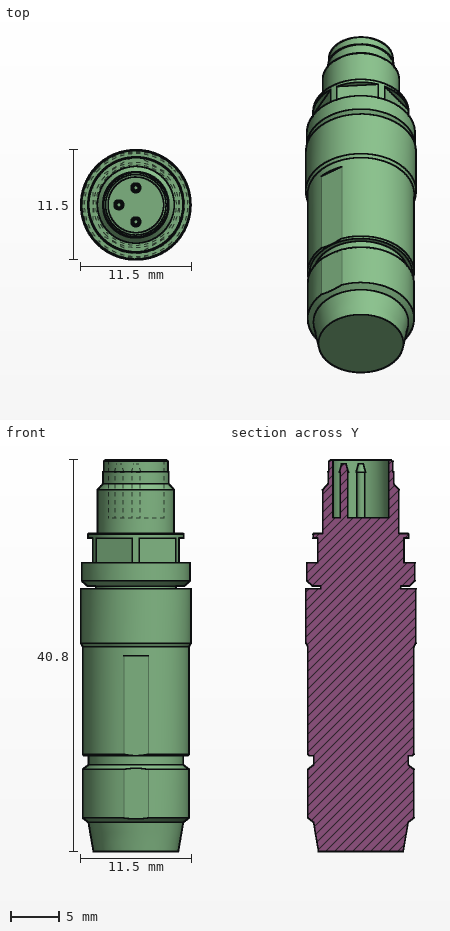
import cadquery as cq
import math

TOTAL_HEIGHT = 40.8

NOSE_TIP_DIAMETER = 8.85
NUT_BOTTOM_Z = 3.05
NUT_TOP_Z = 9.05
NUT_DIAMETER = 11.1
NUT_CHAMFER_HEIGHT = 0.47
NECK_DIAMETER = 9.9

BODY_BOTTOM_Z = 9.97
BODY_TOP_Z = 21.35
BODY_DIAMETER = 11.1
BODY_CHAMFER = 0.18

GRIP_ACROSS_FLATS = 10.8
GRIP_FLAT_TOP_Z = 20.4

COLLAR_DIAMETER = 11.5
COLLAR_TOP_Z = 27.4
COLLAR_CHAMFER_HEIGHT = 0.38

GROOVE_DIAMETER = 8.4
FLANGE_BOTTOM_Z = 27.65
FLANGE_BOTTOM_DIAMETER = 10.1
FLANGE_DIAMETER = 11.3
FLANGE_CHAMFER_HEIGHT = 0.55
FLANGE_TOP_Z = 30.1

HEX_ACROSS_FLATS = 9.0
HEX_CORNER_DIAMETER = 10.0
HEX_TOP_Z = 32.65
RIM_TOP_Z = 33.15
RIM_CHAMFER = 0.1

SHANK_DIAMETER = 8.0
SHANK_TOP_Z = 37.7
SHANK_CHAMFER_HEIGHT = 0.6
SLEEVE_DIAMETER = 6.9
TIP_DIAMETER = 6.7
TIP_LENGTH = 1.25
TIP_CHAMFER_HEIGHT = 0.15
TIP_FACE_DIAMETER = 6.3
SOCKET_DIAMETER = 5.8
SOCKET_DEPTH = 6.0

PIN_SHAFT_DIAMETER = 0.85
PIN_HEAD_DIAMETER = 1.0
PIN_TIP_DIAMETER = 0.5
PIN_HEAD_LENGTH = 0.9
PIN_RECESS = 0.4
PIN_ROOT_DEPTH = 1.0
PIN_CIRCLE_RADIUS = 1.77
PIN_ANGLES = (90, 180, 270)


def turned_outline():
    """(diameter, z) corners of the turned outside, from the nose up to the sleeve tip."""
    sleeve_bottom = SHANK_TOP_Z + SHANK_CHAMFER_HEIGHT
    return [
        (NOSE_TIP_DIAMETER, 0),
        (NECK_DIAMETER, NUT_BOTTOM_Z),
        (NUT_DIAMETER, NUT_BOTTOM_Z + NUT_CHAMFER_HEIGHT),
        (NUT_DIAMETER, NUT_TOP_Z - NUT_CHAMFER_HEIGHT),
        (NECK_DIAMETER, NUT_TOP_Z),
        (NECK_DIAMETER, BODY_BOTTOM_Z),
        (BODY_DIAMETER - 2 * BODY_CHAMFER, BODY_BOTTOM_Z),
        (BODY_DIAMETER, BODY_BOTTOM_Z + BODY_CHAMFER),
        (BODY_DIAMETER, BODY_TOP_Z),
        (COLLAR_DIAMETER, BODY_TOP_Z + COLLAR_CHAMFER_HEIGHT),
        (COLLAR_DIAMETER, COLLAR_TOP_Z),
        (GROOVE_DIAMETER, COLLAR_TOP_Z),
        (GROOVE_DIAMETER, FLANGE_BOTTOM_Z),
        (FLANGE_BOTTOM_DIAMETER, FLANGE_BOTTOM_Z),
        (FLANGE_DIAMETER, FLANGE_BOTTOM_Z + FLANGE_CHAMFER_HEIGHT),
        (FLANGE_DIAMETER, FLANGE_TOP_Z),
        (HEX_CORNER_DIAMETER, FLANGE_TOP_Z),
        (HEX_CORNER_DIAMETER, RIM_TOP_Z - RIM_CHAMFER),
        (HEX_CORNER_DIAMETER - 2 * RIM_CHAMFER, RIM_TOP_Z),
        (SHANK_DIAMETER, RIM_TOP_Z),
        (SHANK_DIAMETER, SHANK_TOP_Z),
        (SLEEVE_DIAMETER, sleeve_bottom),
        (SLEEVE_DIAMETER, TOTAL_HEIGHT - TIP_LENGTH),
        (TIP_DIAMETER, TOTAL_HEIGHT - TIP_LENGTH),
        (TIP_DIAMETER, TOTAL_HEIGHT - TIP_CHAMFER_HEIGHT),
        (TIP_FACE_DIAMETER, TOTAL_HEIGHT),
    ]


def revolve_outline(outline):
    """Solid of revolution about Z from (diameter, z) corners, closed along the axis."""
    points = [(diameter / 2, z) for diameter, z in outline]
    bottom = (0, outline[0][1])
    top = (0, outline[-1][1])
    profile = cq.Workplane("XZ").polyline([bottom] + points + [top]).close()
    return profile.revolve(360, (0, 0, 0), (0, 1, 0))


def grip_flat_cutter(side):
    """Block that planes one grip flat on nut and housing; side is -1 for -Y, +1 for +Y."""
    thickness = COLLAR_DIAMETER
    height = GRIP_FLAT_TOP_Z - NUT_BOTTOM_Z
    centre_y = side * (GRIP_ACROSS_FLATS + thickness) / 2
    block = cq.Workplane("XY").box(COLLAR_DIAMETER, thickness, height)
    return block.translate((0, centre_y, NUT_BOTTOM_Z + height / 2))


def hexagon_cutter():
    """Ring with a hexagonal opening, two of whose flats face -X and +X."""
    across_corners = HEX_ACROSS_FLATS / math.cos(math.radians(30))
    height = HEX_TOP_Z - FLANGE_TOP_Z
    base = cq.Workplane("XY").workplane(offset=FLANGE_TOP_Z)
    ring = base.circle(COLLAR_DIAMETER / 2).extrude(height)
    hexagon = base.polygon(6, across_corners).extrude(height)
    return ring.cut(hexagon.rotate((0, 0, 0), (0, 0, 1), 30))


def socket_cutter():
    """Round cavity open at the top of the sleeve."""
    floor = cq.Workplane("XY").workplane(offset=TOTAL_HEIGHT - SOCKET_DEPTH)
    return floor.circle(SOCKET_DIAMETER / 2).extrude(SOCKET_DEPTH)


def contact_pin(angle):
    """Pin with a tapered head on a thinner shaft, rooted below the socket floor."""
    tip_z = TOTAL_HEIGHT - PIN_RECESS
    head_z = tip_z - PIN_HEAD_LENGTH
    root_z = TOTAL_HEIGHT - SOCKET_DEPTH - PIN_ROOT_DEPTH
    pin = revolve_outline([
        (PIN_SHAFT_DIAMETER, root_z),
        (PIN_SHAFT_DIAMETER, head_z),
        (PIN_HEAD_DIAMETER, head_z),
        (PIN_TIP_DIAMETER, tip_z),
    ])
    return pin.translate((PIN_CIRCLE_RADIUS, 0, 0)).rotate((0, 0, 0), (0, 0, 1), angle)


result = revolve_outline(turned_outline())
for flat_side in (-1, 1):
    result = result.cut(grip_flat_cutter(flat_side))
result = result.cut(hexagon_cutter()).cut(socket_cutter())
for pin_angle in PIN_ANGLES:
    result = result.union(contact_pin(pin_angle))